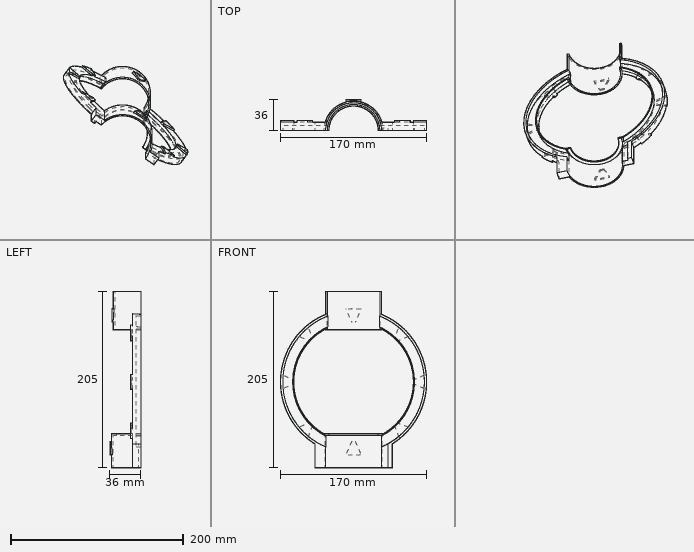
import cadquery as cq


ring_radius = 85.0
ring_bore_radius = 69.5
ring_depth = 10.0
groove_outer_radius = 82.3
groove_inner_radius = 70.8
groove_depth = 6.0

upper_bore_radius = 30.5
upper_outer_radius = 32.5
upper_bottom = 60.5
upper_top = 105.0

lower_bore_radius = 32.8
lower_outer_radius = 34.5
lower_bottom = -100.0
lower_top = -60.0
lip_bore_radius = 28.6
lip_thickness = 2.0

foot_half_width = 45.0
foot_top = -70.0
outlet_outer_x = 40.0
outlet_depth = 3.0

pad_width = 18.0
pad_apex_radius = 64.3
ring_pad_angles = (0, 45, 135, 180, 225, 315)
ring_pad_height = 2.0
collar_pad_height = 1.5


def ring_disc(radius, depth):
    """Disc about the ring axis, from the front face back to the given depth."""
    return cq.Workplane("XZ").circle(radius).extrude(-depth)


def cylinder(radius, bottom, top):
    """Full cylinder about the Z axis."""
    return cq.Workplane("XY", origin=(0, 0, bottom)).circle(radius).extrude(top - bottom)


def half_cylinder(radius, bottom, top):
    """Rear half (Y >= 0) of a cylinder about the Z axis."""
    rear = box((-radius, radius), (0, radius), (bottom, top))
    return cylinder(radius, bottom, top).intersect(rear)


def box(x_range, y_range, z_range):
    """Axis-aligned box given by its limits along each axis."""
    (x0, x1), (y0, y1), (z0, z1) = x_range, y_range, z_range
    return cq.Workplane("XY").box(x1 - x0, y1 - y0, z1 - z0, centered=False).translate((x0, y0, z0))


def wedge_pad(angle, front, back):
    """Pad between two Y levels, trimmed to the ring's bore and outer edge; 90 degrees is +Z."""
    outline = [
        (pad_apex_radius, 0),
        (ring_radius, -pad_width / 2),
        (ring_radius, pad_width / 2),
    ]
    wedge = cq.Workplane("XZ").polyline(outline).close().extrude(-back)
    wedge = wedge.rotate((0, 0, 0), (0, 1, 0), -angle)
    rim = ring_disc(ring_radius, back).cut(ring_disc(ring_bore_radius, back))
    return wedge.intersect(rim).cut(ring_disc(ring_radius, front))


def ring_blank():
    """Annulus carrying its raised back pads."""
    pad_back = ring_depth + ring_pad_height
    blank = ring_disc(ring_radius, pad_back).cut(ring_disc(ring_bore_radius, pad_back))
    relief = blank.cut(ring_disc(ring_radius, ring_depth))
    for angle in ring_pad_angles:
        relief = relief.cut(wedge_pad(angle, ring_depth, pad_back))
    return blank.cut(relief)


foot = box((-foot_half_width, foot_half_width), (0, ring_depth), (lower_bottom, foot_top))
body = ring_blank().union(foot.cut(ring_disc(ring_bore_radius, ring_depth)))
body = body.union(half_cylinder(upper_outer_radius, upper_bottom, upper_top))
body = body.union(half_cylinder(lower_outer_radius, lower_bottom, lower_top))
body = body.union(wedge_pad(90, upper_bore_radius, upper_outer_radius + collar_pad_height))
body = body.union(wedge_pad(270, lower_bore_radius, lower_outer_radius + collar_pad_height))

body = body.cut(cylinder(upper_bore_radius, upper_bottom, upper_top))
body = body.cut(cylinder(lower_bore_radius, lower_bottom, lower_top - lip_thickness))
body = body.cut(cylinder(lip_bore_radius, lower_bottom, lower_top))

groove = ring_disc(groove_outer_radius, groove_depth).cut(ring_disc(groove_inner_radius, groove_depth))
body = body.cut(groove)

outlet = box((0, outlet_outer_x), (0, outlet_depth), (lower_bottom, foot_top))

result = body.cut(outlet)